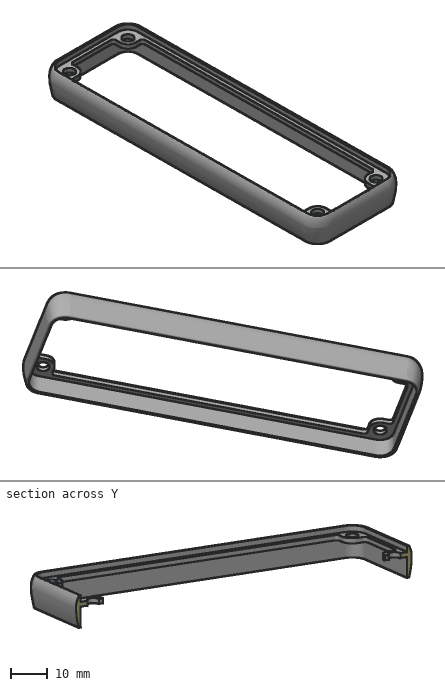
import cadquery as cq

length = 106.1
width = 33.6
height = 9.0
corner_radius = 5.5

seam_drop = 3.1
top_inset = 1.0
bottom_inset = 0.8
wall_inset = 1.6
rim_fillet = 0.3

flange_inset = 3.0
flange_thickness = 1.5
recess_depth = 1.7
lug_radius = 3.1
lug_root_fillet = 1.0
hole_diameter = 3.5

seam_height = height - seam_drop
flange_top = height - recess_depth
flange_bottom = flange_top - flange_thickness
hole_spacing_x = length - 2 * corner_radius
hole_spacing_y = width - 2 * corner_radius


def arc_midpoint(inset, rise):
    """Middle of an arc that starts vertical at the seam and reaches the given inset after the given rise.

    Returns the midpoint's inset and its distance from the seam level.
    """
    radius = (inset**2 + rise**2) / (2 * inset)
    mid_rise = rise / 2
    mid_inset = radius - (radius**2 - mid_rise**2) ** 0.5
    return mid_inset, mid_rise


def make_wall():
    """Bulged wall section swept around the rounded rectangle of the widest level, with rounded rims."""
    outer_face = -width / 2
    upper_inset, upper_rise = arc_midpoint(top_inset, seam_drop)
    lower_inset, lower_drop = arc_midpoint(bottom_inset, seam_height)
    section = (
        cq.Workplane("YZ")
        .moveTo(outer_face + wall_inset, 0)
        .lineTo(outer_face + bottom_inset, 0)
        .threePointArc(
            (outer_face + lower_inset, seam_height - lower_drop),
            (outer_face, seam_height),
        )
        .threePointArc(
            (outer_face + upper_inset, seam_height + upper_rise),
            (outer_face + top_inset, height),
        )
        .lineTo(outer_face + wall_inset, height)
        .close()
    )
    half_straight_x = hole_spacing_x / 2
    half_straight_y = hole_spacing_y / 2
    half_length = length / 2
    half_width = width / 2
    path = (
        cq.Workplane("XY", origin=(0, 0, seam_height))
        .moveTo(0, -half_width)
        .lineTo(half_straight_x, -half_width)
        .radiusArc((half_length, -half_straight_y), -corner_radius)
        .lineTo(half_length, half_straight_y)
        .radiusArc((half_straight_x, half_width), -corner_radius)
        .lineTo(-half_straight_x, half_width)
        .radiusArc((-half_length, half_straight_y), -corner_radius)
        .lineTo(-half_length, -half_straight_y)
        .radiusArc((-half_straight_x, -half_width), -corner_radius)
        .close()
    )
    wall = section.sweep(path)
    outer_loop = cq.selectors.LengthNthSelector(-1)
    top_rim = wall.faces(">Z").wires(outer_loop).edges()
    bottom_rim = wall.faces("<Z").wires(outer_loop).edges()
    return top_rim.add(bottom_rim).fillet(rim_fillet)


def make_opening():
    """Cross-shaped opening whose inner corners leave the four rounded lugs."""
    lug_gap_x = hole_spacing_x - 2 * lug_radius
    lug_gap_y = hole_spacing_y - 2 * lug_radius
    opening_length = length - 2 * flange_inset
    opening_width = width - 2 * flange_inset
    plane = cq.Workplane("XY", origin=(0, 0, flange_bottom))
    lengthwise = plane.rect(opening_length, lug_gap_y).extrude(flange_thickness)
    crosswise = plane.rect(lug_gap_x, opening_width).extrude(flange_thickness)
    lug_corners = cq.selectors.BoxSelector(
        (-opening_length / 2 + lug_root_fillet, -opening_width / 2 + lug_root_fillet, 0),
        (opening_length / 2 - lug_root_fillet, opening_width / 2 - lug_root_fillet, height),
    )
    opening = lengthwise.union(crosswise)
    opening = opening.edges("|Z").edges(lug_corners).fillet(lug_radius)
    end_corners = opening.edges("|Z and (<X or >X)")
    side_corners = opening.edges("|Z and (<Y or >Y)")
    return end_corners.add(side_corners).fillet(lug_root_fillet)


def make_flange():
    """Thin plate joined to the wall, with the opening and screw holes cut through."""
    wall_middle_inset = (wall_inset + bottom_inset) / 2
    plate = (
        cq.Workplane("XY", origin=(0, 0, flange_bottom))
        .rect(length - 2 * wall_middle_inset, width - 2 * wall_middle_inset)
        .extrude(flange_thickness)
        .edges("|Z")
        .fillet(corner_radius - wall_middle_inset)
    )
    holes = (
        cq.Workplane("XY", origin=(0, 0, flange_bottom))
        .rect(hole_spacing_x, hole_spacing_y, forConstruction=True)
        .vertices()
        .circle(hole_diameter / 2)
        .extrude(flange_thickness)
    )
    return plate.cut(make_opening()).cut(holes)


result = make_wall().union(make_flange())